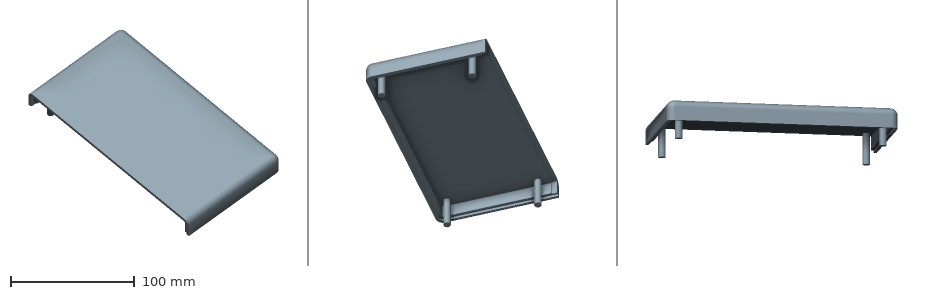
import cadquery as cq

length = 190
depth = 103.0
total_height = 30.0
cover_height = 17.1
outer_radius = 6.0

side_wall = 5.3
roof = 4.4
cavity_radius = 0.5

mouth_side_wall = 4.4
mouth_roof = 3.0
mouth_depth = 4.5
mouth_radius = 1.5

rim_wall = 2.5
rabbet_height = 1.9

pin_diameter = 6.0
pin_side_inset = 11.0
pin_front_inset = 14.2
pin_back_inset = 11.2
pin_drop = total_height - cover_height


def front_open_box(wall, back_wall, bottom, top, end):
    """Box centred in X that starts at the front edge and ends at Y = end - back_wall."""
    return cq.Workplane("XY").box(
        length - 2 * wall, end - back_wall, top - bottom, centered=(True, False, False)
    ).translate((0, 0, bottom))


def make_shell():
    """Outer cover with rounded sides, back and roof edges; the front is flat."""
    block = front_open_box(0, 0, 0, cover_height, depth)
    block = block.edges("|Z and >Y").fillet(outer_radius)
    return block.faces(">Z").edges("not <Y").fillet(outer_radius)


def make_cavity():
    """Main hollow with a small rounding along its walls, back and ceiling."""
    hollow = front_open_box(side_wall, side_wall, 0, cover_height - roof, depth)
    hollow = hollow.edges("|Z and >Y").fillet(cavity_radius)
    return hollow.faces(">Z").edges("not <Y").fillet(cavity_radius)


def make_mouth():
    """Shallow widening of the cavity at the front edge."""
    mouth = front_open_box(
        mouth_side_wall, 0, 0, cover_height - mouth_roof, mouth_depth
    )
    return mouth.edges("|Y and >Z").fillet(mouth_radius)


def make_rabbet():
    """Step in the lower rim, concentric with the rounded back corners."""
    rabbet = front_open_box(rim_wall, rim_wall, 0, rabbet_height, depth)
    return rabbet.edges("|Z and >Y").fillet(outer_radius - rim_wall)


def make_pins():
    """Four round pins from the middle of the roof thickness to below the rim."""
    pin_x = length / 2 - pin_side_inset
    pin_top = cover_height - roof / 2
    centres = [
        (x, y)
        for x in (-pin_x, pin_x)
        for y in (pin_front_inset, depth - pin_back_inset)
    ]
    return (
        cq.Workplane("XY", origin=(0, 0, -pin_drop))
        .pushPoints(centres)
        .circle(pin_diameter / 2)
        .extrude(pin_top + pin_drop)
    )


result = make_shell().cut(make_cavity()).cut(make_mouth()).cut(make_rabbet()).union(make_pins())